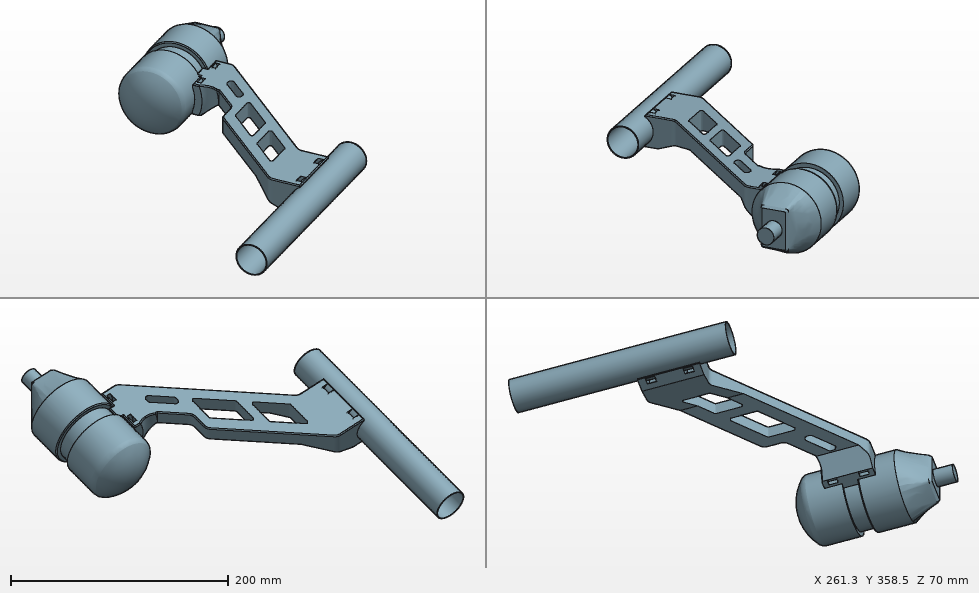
import cadquery as cq
import math


housing_dia = 70.0
housing_length = 36.5
housing_edge_break = 1.0
nose_length = 26.5
nose_tip_width = 27.5
nose_tip_height = 42.7
nose_tip_corner_radius = 3.0
nose_end_length = 2.5
nose_end_taper = 40.0
cable_dia = 17.0
cable_length = 18.5
core_dia = 60.3
core_length = 15.0
cap_dia = 68.5
cap_end_y = -68.0
cap_dome_radius = 46.0
cap_edge_fillet = 7.0

tube_dia = 32.0
tube_bore = 30.0
tube_length = 210.3
tube_x = 210.3
tube_top_y = -64.2

arm_half_height = tube_dia / 2
web_bottom_z = 0.0
arm_slope = -math.tan(math.radians(43))
arm_edge_chamfer = 1.0
arm_corner_radius = 8.5
head_pad_x = 32.0
head_pad_top_y = 17.5
head_pad_bottom_y = -32.0
tongue_x = 27.0
upper_edge_start_x = 50.0
step_x = 82.5
step_top_y = -54.0
step_bottom_y = -74.3
tube_pad_x = 203.0
tube_pad_top_y = -97.0
tube_pad_bottom_y = -157.2

head_ramp_start_x = 40.2
head_ramp_end_x = 58.0
tube_ramp_start_x = 146.8
tube_ramp_end_x = 189.5

relief_ring_radius = 50.2
relief_radius = 15.8
relief_y = -45.2

opening_drop = 15.5
openings = [
    (60.0, 82.5, 10.5, 3.0),
    (92.5, 123.8, 29.0, 1.8),
    (133.0, 160.5, 29.0, 1.8),
]

strap_width = 9.0
strap_thickness = 3.4
head_strap_radius = 38.0
head_strap_ys = (8.0, -22.2)
tube_strap_radius = 18.0
tube_strap_edge_distance = 12.0


def rod(dia, start_y, end_y, x=0.0):
    """Solid cylinder along Y between two Y positions."""
    plane = cq.Plane(origin=(x, start_y, 0), xDir=(1, 0, 0), normal=(0, 1, 0))
    return cq.Workplane(plane).circle(dia / 2).extrude(end_y - start_y)


def ring(inner_radius, thickness, mid_y, width, x=0.0):
    """Ring around an axis along Y, centred on mid_y."""
    start_y, end_y = mid_y - width / 2, mid_y + width / 2
    outer = rod(2 * (inner_radius + thickness), start_y, end_y, x)
    return outer.cut(rod(2 * inner_radius, start_y, end_y, x))


def make_housing():
    """Upper housing: cylinder whose nose blends from a circle to a rounded rectangle."""
    barrel = rod(housing_dia, 0, housing_length).faces("<Y").edges().chamfer(housing_edge_break)
    tip = cq.Sketch().rect(nose_tip_width, nose_tip_height).vertices().fillet(nose_tip_corner_radius)
    base_plane = cq.Plane(origin=(0, housing_length, 0), xDir=(1, 0, 0), normal=(0, 1, 0))
    base = cq.Sketch().circle(housing_dia / 2)
    raised_tip = tip.moved(cq.Location((0, 0, nose_length)))
    nose = cq.Workplane(base_plane).placeSketch(base, raised_tip).loft()
    end_start = cq.Workplane(base_plane).workplane(offset=nose_length)
    nose_end = end_start.placeSketch(tip).extrude(nose_end_length, taper=nose_end_taper)
    return barrel.union(nose).union(nose_end)


def make_cable():
    start_y = housing_length + nose_length + nose_end_length
    return rod(cable_dia, start_y, start_y + cable_length)


def make_core():
    return rod(core_dia, -core_length, 0)


def make_cap():
    """Lower cap with a domed end."""
    blank = rod(cap_dia, cap_end_y, -core_length)
    dome_centre_y = cap_end_y + cap_dome_radius
    dome = cq.Workplane("XY").sphere(cap_dome_radius).translate((0, dome_centre_y, 0))
    cap = blank.intersect(dome)
    return cap.edges("%CIRCLE").edges("<Y").fillet(cap_edge_fillet)


def make_tube():
    end_y = tube_top_y - tube_length
    return rod(tube_dia, end_y, tube_top_y, tube_x).cut(rod(tube_bore, end_y, tube_top_y, tube_x))


def upper_edge_y(x):
    """Y of the arm's sloping upper edge at a given X."""
    return head_pad_top_y + arm_slope * (x - upper_edge_start_x)


def make_arm_blank():
    """Full-height arm plate with the round relief under the head pad."""
    upper_edge_end_x = upper_edge_start_x + (tube_pad_top_y - head_pad_top_y) / arm_slope
    lower_edge_end_x = step_x + (tube_pad_bottom_y - step_bottom_y) / arm_slope
    notch_start_x = step_x + (head_pad_bottom_y - step_top_y) / arm_slope
    sloping_corners = [
        (upper_edge_start_x, head_pad_top_y),
        (upper_edge_end_x, tube_pad_top_y),
        (lower_edge_end_x, tube_pad_bottom_y),
        (step_x, step_bottom_y),
        (step_x, step_top_y),
    ]
    outline = [
        (head_pad_x, head_pad_top_y),
        *sloping_corners[:2],
        (tube_pad_x, tube_pad_top_y),
        (tube_pad_x, tube_pad_bottom_y),
        *sloping_corners[2:],
        (notch_start_x, head_pad_bottom_y),
        (head_pad_x, head_pad_bottom_y),
        (head_pad_x, -core_length),
        (tongue_x, -core_length),
        (tongue_x, 0),
        (head_pad_x, 0),
    ]
    blank = (
        cq.Workplane("XY")
        .workplane(offset=-arm_half_height)
        .polyline(outline)
        .close()
        .extrude(2 * arm_half_height)
    )
    for x, y in sloping_corners:
        corner_edge = cq.selectors.NearestToPointSelector((x, y, 0))
        blank = blank.edges("|Z").edges(corner_edge).fillet(arm_corner_radius)
    relief = (
        cq.Workplane("XY")
        .center(relief_ring_radius, relief_y)
        .circle(relief_radius)
        .revolve(360, (-relief_ring_radius, 0), (-relief_ring_radius, 1))
    )
    blank = blank.cut(relief)
    return blank.faces(">Z").edges().chamfer(arm_edge_chamfer)


def make_underside():
    """Space below the thin web, bounded by the two ramps."""
    profile = [
        (head_ramp_start_x, -arm_half_height),
        (head_ramp_end_x, web_bottom_z),
        (tube_ramp_start_x, web_bottom_z),
        (tube_ramp_end_x, -arm_half_height),
    ]
    return cq.Workplane("XZ").polyline(profile).close().extrude(-tube_pad_bottom_y, both=True)


def make_opening(left_x, right_x, height, corner_radius):
    """Parallelogram opening that follows the arm's upper edge."""
    left_y = upper_edge_y(left_x) - opening_drop
    right_y = upper_edge_y(right_x) - opening_drop
    corners = [
        (left_x, left_y),
        (right_x, right_y),
        (right_x, right_y - height),
        (left_x, left_y - height),
    ]
    opening = cq.Workplane("XY").polyline(corners).close().extrude(2 * arm_half_height, both=True)
    return opening.edges("|Z").fillet(corner_radius)


def make_arm():
    arm = make_arm_blank().cut(make_underside())
    for opening in openings:
        arm = arm.cut(make_opening(*opening))
    for y in head_strap_ys:
        arm = arm.cut(ring(head_strap_radius, strap_thickness, y, strap_width))
    for y in (tube_pad_top_y - tube_strap_edge_distance, tube_pad_bottom_y + tube_strap_edge_distance):
        arm = arm.cut(ring(tube_strap_radius, strap_thickness, y, strap_width, tube_x))
    arm = arm.cut(rod(housing_dia, 0, housing_length))
    arm = arm.cut(rod(core_dia, -core_length, 0))
    arm = arm.cut(rod(cap_dia, cap_end_y, -core_length))
    return arm.cut(rod(tube_dia, tube_top_y - tube_length, tube_top_y, tube_x))


housing = make_housing()
cable = make_cable()
core = make_core()
cap = make_cap()
tube = make_tube()
arm = make_arm()

result = cq.Compound.makeCompound(
    [housing.val(), cable.val(), core.val(), cap.val(), tube.val(), arm.val()]
)